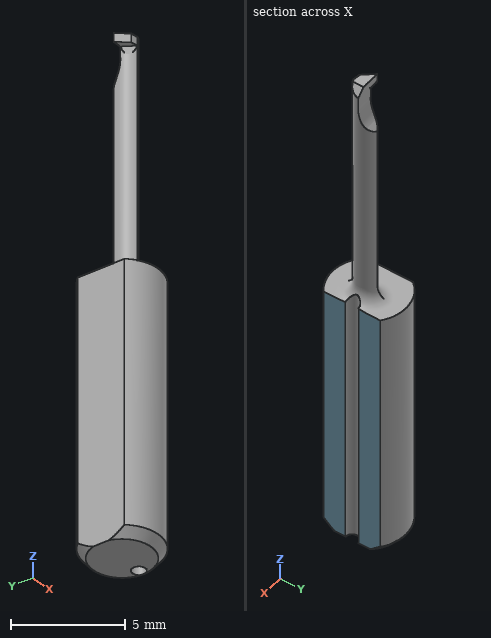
import cadquery as cq
import math

total_length = 27.0
shank_diameter = 4.0
shank_radius = shank_diameter / 2
shank_length = 14.3
width_across_flat = 3.55
flat_x = shank_radius - width_across_flat
base_chamfer_height = 0.49
base_chamfer_width = 0.4

coolant_diameter = 0.7
coolant_x = 1.25

neck_left_x = -0.14
neck_right_x = 0.78
ridge_x = 0.256
ridge_y = 0.65
foot_radius = 0.78

rake_y = 0.0
rake_bottom_z = 26.0
scoop_mid_y = 0.08
scoop_mid_z = 25.35
scoop_end_y = 0.35
scoop_end_z = 24.87
tip_chamfer = 0.38

tooth_left_x = -0.62
tooth_back_x = -0.14
tooth_back_y = -0.6
tooth_height = 0.45
tooth_bottom_z = total_length - tooth_height

relief_depth = 0.14
relief_height = 0.62


def make_shank():
    """Bar chamfered at its base, then flattened on the -X side."""
    bar = (
        cq.Workplane("XY")
        .circle(shank_radius)
        .extrude(shank_length)
        .faces("<Z")
        .chamfer(base_chamfer_height, base_chamfer_width)
    )
    flat_envelope = (
        cq.Workplane("XY")
        .box(width_across_flat, shank_diameter, shank_length, centered=(False, True, False))
        .translate((flat_x, 0, 0))
    )
    return bar.intersect(flat_envelope)


def make_flared_column(crest_x):
    """Round column through both ridges and the crest, flaring out onto the shank's end face."""
    crest_offset = crest_x - ridge_x
    center_x = ridge_x + (crest_offset**2 - ridge_y**2) / (2 * crest_offset)
    radius = abs(crest_x - center_x)
    foot_top_z = shank_length + foot_radius
    arc_inset = foot_radius * (1 - math.sqrt(0.5))
    return (
        cq.Workplane("XZ")
        .moveTo(0, shank_length)
        .lineTo(radius + foot_radius, shank_length)
        .threePointArc((radius + arc_inset, shank_length + arc_inset), (radius, foot_top_z))
        .lineTo(radius, total_length)
        .lineTo(0, total_length)
        .close()
        .revolve(360, (0, 0), (0, 1))
        .translate((center_x, 0, 0))
    )


def make_neck():
    """Lens-shaped neck: the overlap of its left and right columns."""
    return make_flared_column(neck_left_x).intersect(make_flared_column(neck_right_x))


def make_scoop():
    """Chip space on the +Y side: flat rake face, concave run-out, 45 degree ramp."""
    clear_y = shank_radius
    ramp_end_z = scoop_end_z - (clear_y - scoop_end_y)
    return (
        cq.Workplane("YZ")
        .moveTo(rake_y, total_length)
        .lineTo(rake_y, rake_bottom_z)
        .threePointArc((scoop_mid_y, scoop_mid_z), (scoop_end_y, scoop_end_z))
        .lineTo(clear_y, ramp_end_z)
        .lineTo(clear_y, total_length)
        .close()
        .extrude(shank_radius, both=True)
    )


def make_tip_chamfer():
    """Wedge that bevels the +X side of the tip."""
    return (
        cq.Workplane("XZ")
        .moveTo(neck_right_x - tip_chamfer, total_length)
        .lineTo(neck_right_x, total_length)
        .lineTo(neck_right_x, total_length - tip_chamfer)
        .close()
        .extrude(shank_radius, both=True)
    )


def make_relief():
    """Wedge under the tooth, flattening the neck's -X, -Y side towards the top."""
    chord_x = ridge_x - neck_left_x
    chord_length = math.hypot(chord_x, ridge_y)
    outward = (-ridge_y / chord_length, -chord_x / chord_length, 0)
    along = (chord_x / chord_length, -ridge_y / chord_length, 0)
    chord_plane = cq.Plane(
        origin=(neck_left_x, 0, tooth_bottom_z),
        xDir=outward,
        normal=along,
    )
    return (
        cq.Workplane(chord_plane)
        .polyline([(0, 0), (relief_depth, 0), (relief_depth, relief_height)])
        .close()
        .extrude(chord_length)
    )


def make_tooth():
    """Pointed cutting tooth whose flank runs back from the rake face."""
    return (
        cq.Workplane("XY")
        .workplane(offset=tooth_bottom_z)
        .moveTo(tooth_left_x, rake_y)
        .lineTo(ridge_x, rake_y)
        .lineTo(ridge_x, -ridge_y)
        .lineTo(tooth_back_x, tooth_back_y)
        .close()
        .extrude(tooth_height)
    )


coolant_hole = (
    cq.Workplane("XY")
    .center(coolant_x, 0)
    .circle(coolant_diameter / 2)
    .extrude(total_length)
)

result = make_shank().union(make_neck())
result = result.cut(coolant_hole).cut(make_scoop()).cut(make_tip_chamfer())
result = result.cut(make_relief()).union(make_tooth())